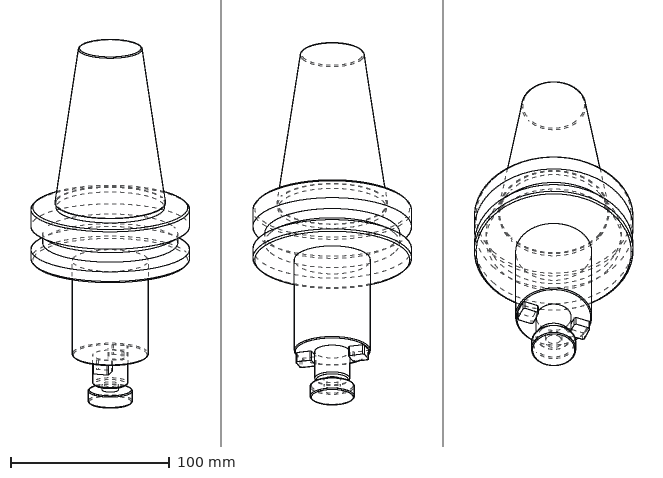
import cadquery as cq

total_height = 232.8

taper_diameter = 69.8
taper_length = 101.7
taper_ratio = 7 / 24
taper_tip_chamfer = 0.7

neck_diameter = 68.5
neck_height = 3.0

flange_diameter = 100.0
flange_thickness = 35.0
flange_chamfer = 1.2
groove_diameter = 85.2
groove_top_depth = 12.5
groove_root_top = 17.0
groove_root_bottom = 23.3
groove_bottom_depth = 27.5

shank_diameter = 48.0
shank_bottom = 31.0
shank_chamfer = 0.7
spigot_diameter = 22.0
spigot_length = 19.0
spigot_chamfer = 1.0
screw_diameter = 10.5
head_diameter = 28.0
head_height = 8.1
head_chamfer = 0.7

key_width = 10.5
key_length = 10.5
key_drop = 6.3
key_centre_offset = 17.5
key_chamfer = 1.0

gauge_level = total_height - taper_length
flange_top = gauge_level - neck_height
flange_bottom = flange_top - flange_thickness
spigot_bottom = shank_bottom - spigot_length
taper_tip_diameter = taper_diameter - taper_length * taper_ratio


def disc(diameter, bottom, top):
    """Cylinder on the Z axis between two levels."""
    return cq.Workplane("XY").workplane(offset=bottom).circle(diameter / 2).extrude(top - bottom)


def make_taper():
    profile = [
        (0, gauge_level),
        (taper_diameter / 2, gauge_level),
        (taper_tip_diameter / 2, total_height),
        (0, total_height),
    ]
    cone = cq.Workplane("XZ").polyline(profile).close().revolve(360, (0, 0), (0, 1))
    return cone.faces(">Z").chamfer(taper_tip_chamfer)


def make_flange():
    rim = flange_diameter / 2
    root = groove_diameter / 2
    profile = [
        (0, flange_top),
        (rim - flange_chamfer, flange_top),
        (rim, flange_top - flange_chamfer),
        (rim, flange_top - groove_top_depth),
        (root, flange_top - groove_root_top),
        (root, flange_top - groove_root_bottom),
        (rim, flange_top - groove_bottom_depth),
        (rim, flange_bottom + flange_chamfer),
        (rim - flange_chamfer, flange_bottom),
        (0, flange_bottom),
    ]
    return cq.Workplane("XZ").polyline(profile).close().revolve(360, (0, 0), (0, 1))


def make_key(side):
    """Drive key hanging below the shank on the +Y (side=1) or -Y (side=-1) side."""
    key = (
        cq.Workplane("XY")
        .workplane(offset=shank_bottom - key_drop)
        .center(0, side * key_centre_offset)
        .rect(key_width, key_length)
        .extrude(key_drop + shank_chamfer)
    )
    return key.edges("|Z").chamfer(key_chamfer)


neck = disc(neck_diameter, flange_top, gauge_level)
shank = disc(shank_diameter, shank_bottom, flange_bottom).faces("<Z").chamfer(shank_chamfer)
spigot = disc(spigot_diameter, spigot_bottom, shank_bottom).faces("<Z").chamfer(spigot_chamfer)
screw = disc(screw_diameter, head_height, spigot_bottom)
head = disc(head_diameter, 0, head_height).faces("<Z or >Z").chamfer(head_chamfer)

result = make_taper()
for section in (neck, make_flange(), shank, spigot, screw, head):
    result = result.union(section)
for side in (-1, 1):
    result = result.union(make_key(side))